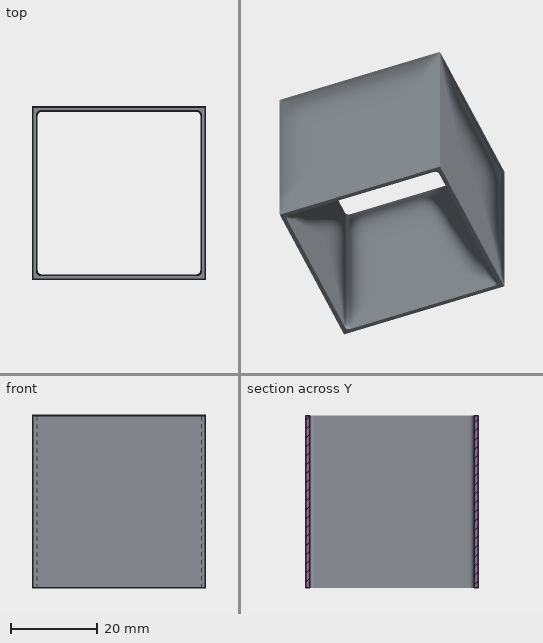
import cadquery as cq

side = 40.0
height = side
wall = 1.0
inner_corner_radius = 1.0

bore_side = side - 2 * wall

outer_block = cq.Workplane("XY").rect(side, side).extrude(height)

bore = (
    cq.Workplane("XY")
    .rect(bore_side, bore_side)
    .extrude(height)
    .edges("|Z")
    .fillet(inner_corner_radius)
)

result = outer_block.cut(bore)